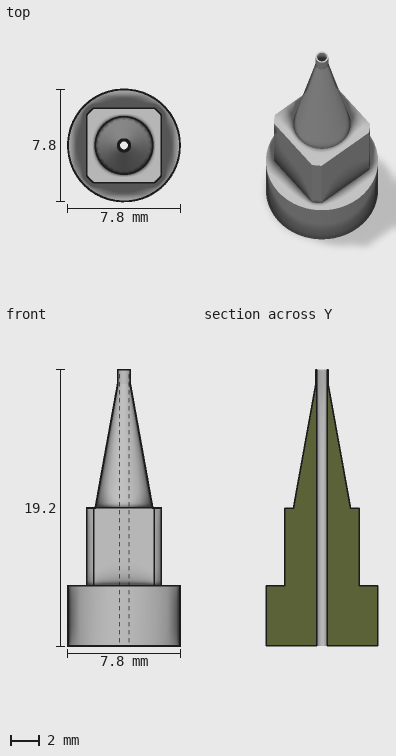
import cadquery as cq

base_height = 4.2
block_top = 9.6
cone_top = 18.2
total_height = 19.2

base_diameter = 7.8
block_width = 5.18
block_corner_diameter = 6.68
cone_base_diameter = 4.0
tip_diameter = 0.88
bore_diameter = 0.67


def make_base():
    return cq.Workplane("XY").circle(base_diameter / 2).extrude(base_height)


def make_block():
    """Square wrench block whose corners are rounded by a concentric cylinder."""
    block_height = block_top - base_height
    plane = cq.Workplane("XY").workplane(offset=base_height)
    square = plane.rect(block_width, block_width).extrude(block_height)
    corner_limit = plane.circle(block_corner_diameter / 2).extrude(block_height)
    return square.intersect(corner_limit)


def make_nozzle():
    """Cone ending in a short straight tip."""
    return (
        cq.Workplane("XZ")
        .moveTo(0, block_top)
        .lineTo(cone_base_diameter / 2, block_top)
        .lineTo(tip_diameter / 2, cone_top)
        .lineTo(tip_diameter / 2, total_height)
        .lineTo(0, total_height)
        .close()
        .revolve(360, (0, 0, 0), (0, 1, 0))
    )


bore = cq.Workplane("XY").circle(bore_diameter / 2).extrude(total_height)

result = make_base().union(make_block()).union(make_nozzle()).cut(bore)